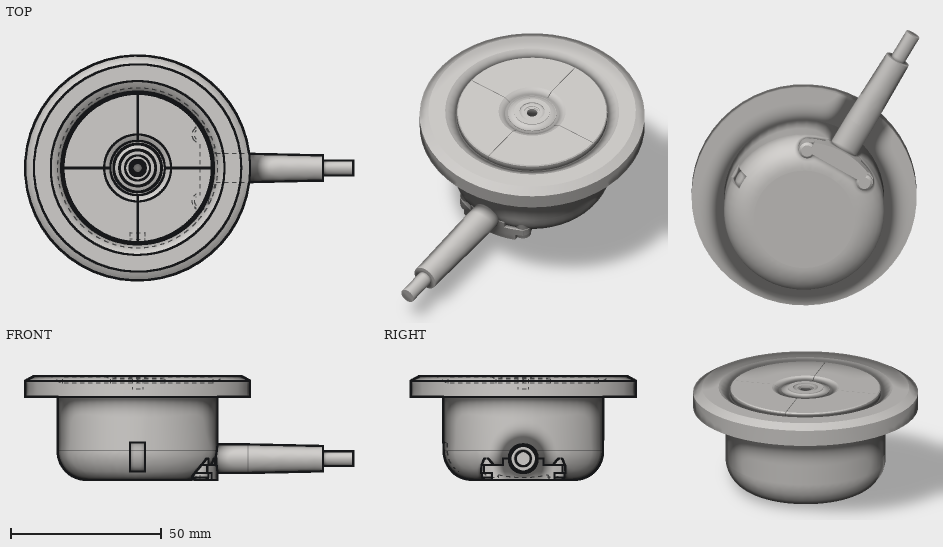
import cadquery as cq
length = 109.0
height = 34.5

body_radius = 26.6
body_edge_radius = 9.8

flange_radius = 37.4
flange_thickness = 7.0
flange_bevel_width = 2.9
flange_bevel_height = 1.6

seat_top_radius = 28.9
seat_floor_radius = 25.4
seat_depth = 2.4
disc_radius = 25.0
disc_bevel = 0.3
disc_gap_width = 0.2

recess_top_radius = 11.1
recess_floor_radius = 9.0
recess_depth = 1.1
hub_base_radius = 8.1
hub_top_radius = 5.9
hub_lip = 0.2
hub_dish_radius = 4.1
hub_dish_depth = 0.3
hub_step_radius = 2.7
hub_step_depth = 0.5
hub_inner_step_radius = 2.2
hub_inner_step_depth = 0.7
hub_hole_radius = 1.7
hub_hole_depth = 4.4

slot_width = 5.0
slot_bottom = 2.8
slot_top = 12.4
slot_depth = 1.3

cable_height = 7.1
cable_radius = 2.5
cable_end = length - flange_radius
sleeve_radius = 4.8
sleeve_tip_radius = 4.3
sleeve_straight_end = 36.6
sleeve_end = 61.6

post_radius = 2.7
collar_radius = 2.9
post_height = 7.4
post_bevel = 0.8
post_x = 20.8
post_y = 11.0
clamp_inner_x = 20.7
bar_height = 4.9
bar_half_width = 13.0
bar_foot_height = 2.4
bar_foot_half_width = 10.4
saddle_half_width = 6.8


def disk(radius, bottom, top):
    """Upright cylinder on the main axis."""
    return cq.Workplane("XY").workplane(offset=bottom).circle(radius).extrude(top - bottom)


def cone(bottom_radius, top_radius, bottom, top):
    """Upright cone frustum on the main axis."""
    return (
        cq.Workplane("XZ")
        .polyline([(0, bottom), (bottom_radius, bottom), (top_radius, top), (0, top)])
        .close()
        .revolve(360, (0, 0), (0, 1))
    )


def bowl(inset):
    """Housing with its wall and rounded bottom edge moved inward by an inset."""
    block = disk(body_radius - inset, inset, height - seat_depth)
    return block.faces("<Z").edges().fillet(body_edge_radius - inset)


def make_flange():
    bevel_start = height - flange_bevel_height
    rim = disk(flange_radius, height - flange_thickness, bevel_start)
    bevel = cone(flange_radius, flange_radius - flange_bevel_width, bevel_start, height)
    seat = cone(seat_floor_radius, seat_top_radius, height - seat_depth, height)
    return rim.union(bevel).cut(seat)


def make_disc():
    seat_floor = height - seat_depth
    recess_floor = height - recess_depth
    disc = disk(disc_radius, seat_floor, height).faces(">Z").edges().chamfer(disc_bevel)
    disc = disc.cut(cone(recess_floor_radius, recess_top_radius, recess_floor, height))

    gap_length = 2 * disc_radius
    for length_x, length_y in ((gap_length, disc_gap_width), (disc_gap_width, gap_length)):
        gap = cq.Workplane("XY").workplane(offset=seat_floor).rect(length_x, length_y).extrude(seat_depth)
        disc = disc.cut(gap.cut(disk(recess_floor_radius, seat_floor, height)))

    return disc.union(make_hub(recess_floor))


def make_hub(base):
    """Tapered hub with a thin stepped lip at its foot and at its top."""
    foot_top = base + hub_lip
    crown_base = height - hub_lip
    foot = disk(hub_base_radius, base, foot_top)
    taper = cone(hub_base_radius - hub_lip, hub_top_radius + hub_lip, foot_top, crown_base)
    crown = disk(hub_top_radius, crown_base, height)
    return foot.union(taper).union(crown)


def cut_hub_hole(part):
    steps = (
        (hub_dish_radius, hub_dish_depth),
        (hub_step_radius, hub_step_depth),
        (hub_inner_step_radius, hub_inner_step_depth),
        (hub_hole_radius, hub_hole_depth),
    )
    for radius, depth in steps:
        part = part.cut(disk(radius, height - depth, height))
    return part


def make_slot():
    """Slot whose back follows the housing surface at an even depth."""
    window = cq.Workplane("XY").box(
        slot_width, body_radius, slot_top - slot_bottom, centered=(True, False, False)
    )
    window = window.translate((0, -body_radius, slot_bottom))
    return window.cut(bowl(slot_depth))


def make_post_pair(radius, bottom, top):
    """Two upright cylinders, one on each side of the cable."""
    centers = [(post_x, post_y), (post_x, -post_y)]
    pair = cq.Workplane("XY").workplane(offset=bottom).pushPoints(centers)
    return pair.circle(radius).extrude(top - bottom)


def add_clamp(part):
    """Add posts and bar layers; the layers end on the cylinder of the housing."""
    layers = (
        (bar_foot_half_width, 0, bar_foot_height),
        (bar_half_width, bar_foot_height, bar_height),
        (saddle_half_width, bar_height, cable_height),
    )
    posts = make_post_pair(post_radius, 0, post_height).faces("<Z").edges().chamfer(post_bevel)
    part = part.union(posts).union(make_post_pair(collar_radius, bar_foot_height, bar_height))
    for half_width, bottom, top in layers:
        layer = cq.Workplane("XY").box(
            body_radius, 2 * half_width, top - bottom, centered=(False, True, False)
        )
        layer = layer.translate((clamp_inner_x, 0, bottom)).intersect(disk(body_radius, bottom, top))
        part = part.union(layer)
    return part


def make_cable():
    """Cable and its tapering sleeve, starting inside the housing wall."""
    start = clamp_inner_x
    profile = [
        (start, 0),
        (start, sleeve_radius),
        (sleeve_straight_end, sleeve_radius),
        (sleeve_end, sleeve_tip_radius),
        (sleeve_end, cable_radius),
        (cable_end, cable_radius),
        (cable_end, 0),
    ]
    cable = cq.Workplane("XZ").polyline(profile).close().revolve(360, (0, 0), (1, 0))
    return cable.translate((0, 0, cable_height))


housing = add_clamp(bowl(0).cut(make_slot()))
housing = housing.union(make_flange()).union(make_disc())
result = cut_hub_hole(housing).union(make_cable())